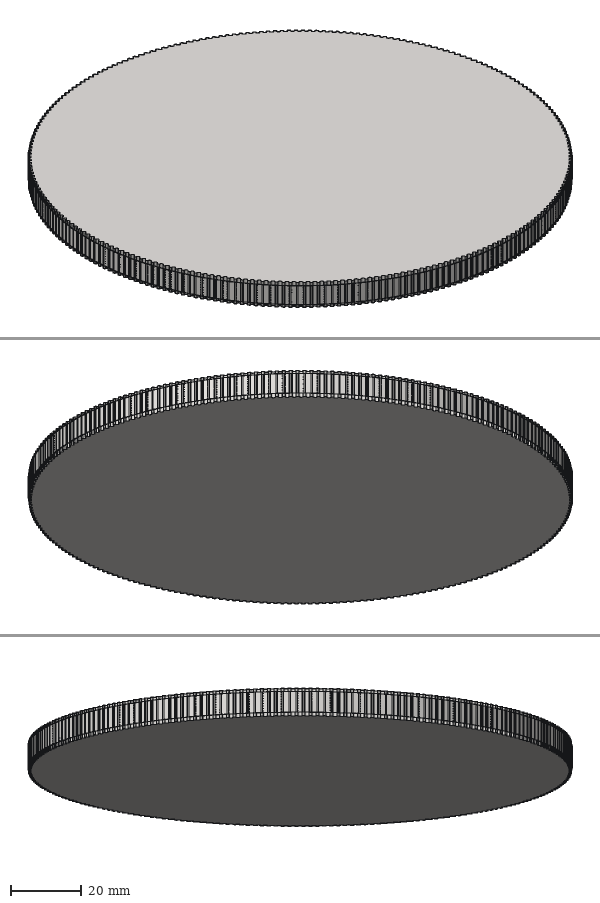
import cadquery as cq
import math

outer_diameter = 155.3
exposed_tooth_height = 0.96
tooth_count = 244
tooth_depth = 0.75
groove_width = 1.12
tip_fillet = 0.23

band_width = 6.0
band_thickness = 0.25

thickness = band_width + 2 * exposed_tooth_height
band_radius = outer_diameter / 2
tip_radius = band_radius - band_thickness
root_radius = tip_radius - tooth_depth
groove_radius = groove_width / 2
pitch_angle = 360 / tooth_count


def polar_point(radius, angle):
    """Point at a distance from the disc axis, angle in radians from the +X axis."""
    return cq.Vector(radius * math.cos(angle), radius * math.sin(angle), 0)


def mirrored(point):
    """The same point on the other side of the X axis."""
    return cq.Vector(point.x, -point.y, 0)


def pitch_edges():
    """Outline of one groove centred on the +X axis and the tooth tip that follows it."""
    fillet_offset = groove_radius + tip_fillet
    fillet_lean = math.asin(fillet_offset / (tip_radius - tip_fillet))
    fillet_centre = polar_point(tip_radius - tip_fillet, fillet_lean)

    floor_middle = cq.Vector(root_radius, 0, 0)
    floor_end = cq.Vector(root_radius + groove_radius, groove_radius, 0)
    wall_end = cq.Vector(fillet_centre.x, groove_radius, 0)
    fillet_middle = fillet_centre + polar_point(tip_fillet, (fillet_lean - math.pi / 2) / 2)
    fillet_end = polar_point(tip_radius, fillet_lean)

    next_groove = math.radians(pitch_angle)
    tip_middle = polar_point(tip_radius, next_groove / 2)
    tip_end = polar_point(tip_radius, next_groove - fillet_lean)

    arc = cq.Edge.makeThreePointArc
    line = cq.Edge.makeLine
    return [
        arc(mirrored(fillet_end), mirrored(fillet_middle), mirrored(wall_end)),
        line(mirrored(wall_end), mirrored(floor_end)),
        arc(mirrored(floor_end), floor_middle, floor_end),
        line(floor_end, wall_end),
        arc(wall_end, fillet_middle, fillet_end),
        arc(fillet_end, tip_middle, tip_end),
    ]


def toothed_disc():
    """Disc with round-bottomed grooves all around its rim and a tooth centred on each axis."""
    axis_start = cq.Vector(0, 0, 0)
    axis_end = cq.Vector(0, 0, 1)
    one_pitch = pitch_edges()
    edges = []
    for tooth in range(tooth_count):
        groove_angle = (tooth + 0.5) * pitch_angle
        edges += [edge.rotate(axis_start, axis_end, groove_angle) for edge in one_pitch]
    outline = cq.Wire.assembleEdges(edges)
    disc = cq.Solid.extrudeLinear(outline, [], cq.Vector(0, 0, thickness))
    return cq.Workplane(disc.translate(cq.Vector(0, 0, -thickness / 2)))


def rim_band():
    """Band that closes the mouths of the grooves over the middle of the thickness."""
    return (
        cq.Workplane("XY", origin=(0, 0, -band_width / 2))
        .circle(band_radius)
        .circle(tip_radius)
        .extrude(band_width)
    )


result = toothed_disc().union(rim_band())